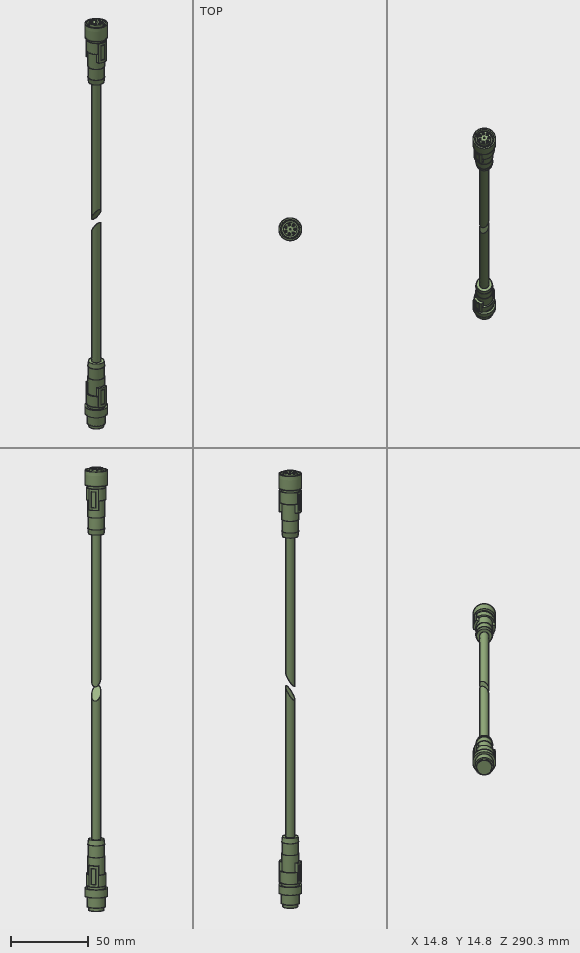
import cadquery as cq

length = 290.3

cable_diameter = 6.0
plug_cable_tip = 147.2
socket_cable_tip = plug_cable_tip
cut_rise = 9.3

band_width = 13.5
band_depth = 12.8
grip_diameter = 11.0
neck_diameter = 10.5
collar_diameter = 11.0
collar_end_diameter = 10.2
band_length = 7.8
grip_end = 19.2
collar_start = 27.0
grip_total = 30.5

pad_diameter = 14.2
pad_length = 14.0
pad_width = 6.5
slot_width = 3.0
slot_depth = 0.5
slot_margin = 1.7

nut_diameter = 14.8
shank_diameter = 12.0
nose_diameter = 10.0
nose_length = 2.3
plug_nut_bottom = 9.3
plug_nut_top = 14.5
plug_grip_start = 16.3

insert_diameter = 8.7
nut_bore = 11.0
bore_mouth_diameter = 12.5
bore_mouth_depth = 1.0
bore_depth = 2.3
nut_face_diameter = 14.5
nut_top_depth = 1.2
nut_shoulder_depth = 3.8
nut_chamfer_depth = 10.0
socket_nut_depth = 10.7
socket_grip_depth = 12.5
contact_count = 7
contact_diameter = 0.9
contact_mouth_diameter = 1.6
contact_mouth_depth = 1.0
contact_circle = 6.0
contact_depth = 3.0


def disc(diameter, bottom, top):
    """Round bar on the Z axis between two heights."""
    return cq.Workplane("XY").workplane(offset=bottom).circle(diameter / 2).extrude(top - bottom)


def make_pad(side):
    """Finger pad on the +X (side = 1) or -X (side = -1) of the grip, before its slot."""
    reach = pad_diameter / 2
    block = cq.Workplane("XY").center(side * reach / 2, 0).rect(reach, pad_width).extrude(pad_length)
    return block.intersect(disc(pad_diameter, 0, pad_length))


def make_slot(side):
    """Block that cuts the slot in the middle of a finger pad."""
    slot_length = pad_length - 2 * slot_margin
    slot = cq.Workplane("XY").box(2 * slot_depth, slot_width, slot_length)
    return slot.translate((side * pad_diameter / 2, 0, pad_length / 2))


def make_grip():
    """Grip standing on Z = 0 with its cable end up."""
    grip = cq.Workplane("XY").ellipse(band_width / 2, band_depth / 2).extrude(band_length)
    grip = grip.union(disc(grip_diameter, band_length, grip_end))
    grip = grip.union(disc(neck_diameter, grip_end, collar_start))
    collar = (
        cq.Workplane("XY")
        .workplane(offset=collar_start)
        .circle(collar_diameter / 2)
        .workplane(offset=grip_total - collar_start)
        .circle(collar_end_diameter / 2)
        .loft()
    )
    grip = grip.union(collar)
    for side in (-1, 1):
        grip = grip.union(make_pad(side)).cut(make_slot(side))
    return grip


def make_cable(level_end, cut_bottom):
    """Cable from a level end to a slanted cut that starts at cut_bottom on the -X side."""
    radius = cable_diameter / 2
    cut_top = cut_bottom + cut_rise
    points = [(-radius, level_end), (-radius, cut_bottom), (radius, cut_top), (radius, level_end)]
    prism = cq.Workplane("XZ").polyline(points).close().extrude(radius, both=True)
    round_bar = disc(cable_diameter, min(level_end, cut_bottom), max(level_end, cut_top))
    return round_bar.intersect(prism)


def make_plug():
    """Plug with its nose on Z = 0 and its cable going up."""
    body = disc(nose_diameter, 0, nose_length)
    body = body.union(disc(shank_diameter, nose_length, plug_grip_start))
    body = body.union(disc(nut_diameter, plug_nut_bottom, plug_nut_top))
    body = body.union(make_grip().translate((0, 0, plug_grip_start)))
    return body.union(make_cable(plug_grip_start + grip_total, plug_cable_tip - cut_rise))


def make_socket_nut():
    """Hollow nut, turned about Z: countersunk bore and bevelled outer corners."""
    profile = [
        (0, length - socket_nut_depth),
        (nut_face_diameter / 2, length - socket_nut_depth),
        (nut_diameter / 2, length - nut_chamfer_depth),
        (nut_diameter / 2, length - nut_shoulder_depth),
        (nut_face_diameter / 2, length - nut_top_depth),
        (bore_mouth_diameter / 2, length - nut_top_depth),
        (nut_bore / 2, length - nut_top_depth - bore_mouth_depth),
        (nut_bore / 2, length - nut_top_depth - bore_depth),
        (0, length - nut_top_depth - bore_depth),
    ]
    return cq.Workplane("XZ").polyline(profile).close().revolve(360, (0, 0, 0), (0, 1, 0))


def drill_contacts(body):
    """Ring of contact holes around one middle hole."""
    top = body.copyWorkplane(cq.Workplane("XY", origin=(0, 0, length)))
    ring = top.polarArray(contact_circle / 2, 0, 360, contact_count)
    body = ring.cboreHole(contact_diameter, contact_mouth_diameter, contact_mouth_depth, contact_depth)
    return body.cut(disc(contact_diameter, length - contact_depth, length))


def make_socket():
    """Socket facing up, with its cable going down."""
    grip_start = length - socket_grip_depth
    body = make_socket_nut()
    body = body.union(disc(insert_diameter, length - nut_top_depth - bore_depth, length))
    body = body.union(disc(shank_diameter, grip_start, length - socket_nut_depth))
    grip = make_grip().rotate((0, 0, 0), (1, 0, 0), 180)
    body = body.union(grip.translate((0, 0, grip_start)))
    body = body.union(make_cable(grip_start - grip_total, socket_cable_tip))
    return drill_contacts(body)


plug = make_plug()
socket = make_socket()

result = cq.Compound.makeCompound([plug.val(), socket.val()])